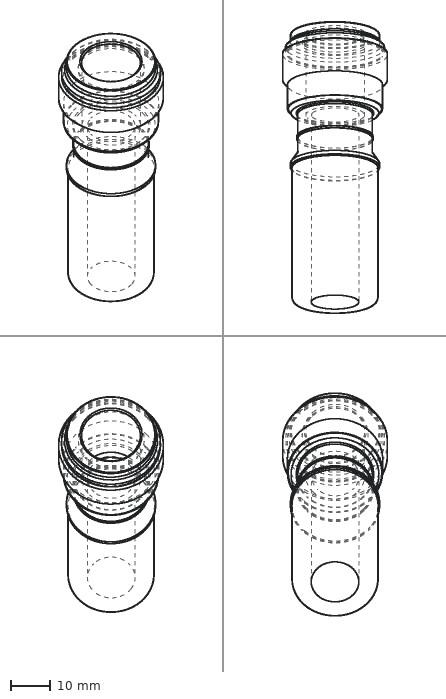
import cadquery as cq

length = 71.5
bore_diameter = 12.15
socket_diameter = 15.0
socket_depth = 21.45
socket_lead_in = 0.4

spigot_diameter = 22.0
spigot_end_radius = 1.4
spigot_top = 35.8
shoulder_diameter = 22.8
shoulder_bottom = 36.1
shoulder_top = 37.05
shoulder_cone_top = 39.75
shoulder_blend_radius = 0.65

neck_diameter = 19.1
neck_ring_diameter = 19.5
neck_ring_bottom = 43.6
neck_ring_top = 44.2
neck_root_height = 0.35
neck_root_diameter = neck_diameter + 2 * neck_root_height

body_bottom = 50.5
barrel_diameter = 24.3
barrel_bottom = 51.6
barrel_nose_diameter = 23.9
barrel_end_diameter = 22.45
barrel_top = 58.05
band_diameter = 26.8
band_bottom = 59.35
band_edge_radius = 0.35
band_top = 66.35

groove_diameter = 24.5
cap_diameter = 25.3
cap_bottom = 66.7
cap_chamfer_bottom = 68.1
cap_top = 68.85
cap_chamfer = cap_top - cap_chamfer_bottom

collet_neck_diameter = 16.9
collet_diameter = 22.8
collet_bottom = 69.5
collet_edge_chamfer = 0.2


def cylinder(diameter, bottom, top):
    return cq.Workplane("XY").workplane(offset=bottom).circle(diameter / 2).extrude(top - bottom)


def cone(bottom_diameter, top_diameter, bottom, top):
    profile = [
        (0, bottom),
        (bottom_diameter / 2, bottom),
        (top_diameter / 2, top),
        (0, top),
    ]
    return cq.Workplane("XZ").polyline(profile).close().revolve(360, (0, 0, 0), (0, 1, 0))


def make_spigot():
    tube = cylinder(spigot_diameter, 0, spigot_top).faces("<Z").edges().fillet(spigot_end_radius)
    flare = cone(spigot_diameter, shoulder_diameter, spigot_top, shoulder_bottom)
    rim = cylinder(shoulder_diameter, shoulder_bottom, shoulder_top)
    taper = cone(shoulder_diameter, neck_diameter, shoulder_top, shoulder_cone_top)
    return tube.union(flare).union(rim).union(taper)


def blend_shoulder(body):
    half = shoulder_blend_radius / 2
    corner = cq.selectors.BoxSelector(
        (-neck_diameter, -neck_diameter, shoulder_cone_top - half),
        (neck_diameter, neck_diameter, shoulder_cone_top + half),
    )
    return body.edges(corner).edges("%CIRCLE").fillet(shoulder_blend_radius)


def make_neck():
    tube = cylinder(neck_diameter, shoulder_cone_top, body_bottom)
    ring = cylinder(neck_ring_diameter, neck_ring_bottom, neck_ring_top)
    root = cone(neck_diameter, neck_root_diameter, body_bottom - neck_root_height, body_bottom)
    return tube.union(ring).union(root)


def make_body():
    barrel_nose = cone(barrel_end_diameter, barrel_nose_diameter, body_bottom, barrel_bottom)
    barrel = cylinder(barrel_diameter, barrel_bottom, barrel_top).union(barrel_nose)
    band_taper = cone(barrel_diameter, band_diameter, barrel_top, band_bottom)
    band = cylinder(band_diameter, band_bottom, band_top)
    wide_band = band_taper.union(band)
    lower_edge = cq.selectors.BoxSelector(
        (-band_diameter, -band_diameter, band_bottom - band_edge_radius),
        (band_diameter, band_diameter, band_bottom + band_edge_radius),
    )
    return barrel.union(wide_band.edges(lower_edge).edges("%CIRCLE").fillet(band_edge_radius))


def make_cap():
    groove = cylinder(groove_diameter, band_top, cap_bottom)
    cap = cylinder(cap_diameter, cap_bottom, cap_top).faces(">Z").edges().chamfer(cap_chamfer)
    return groove.union(cap)


def make_collet():
    neck = cylinder(collet_neck_diameter, cap_top, collet_bottom)
    flange = cylinder(collet_diameter, collet_bottom, length).faces(">Z").edges().chamfer(collet_edge_chamfer)
    return neck.union(flange)


def make_bores():
    through = cylinder(bore_diameter, 0, length)
    socket = cylinder(socket_diameter, length - socket_depth, length)
    mouth_diameter = socket_diameter + 2 * socket_lead_in
    lead_in = cone(socket_diameter, mouth_diameter, length - socket_lead_in, length)
    return through.union(socket).union(lead_in)


outside = make_spigot().union(make_neck()).union(make_body()).union(make_cap()).union(make_collet())
result = blend_shoulder(outside).cut(make_bores())